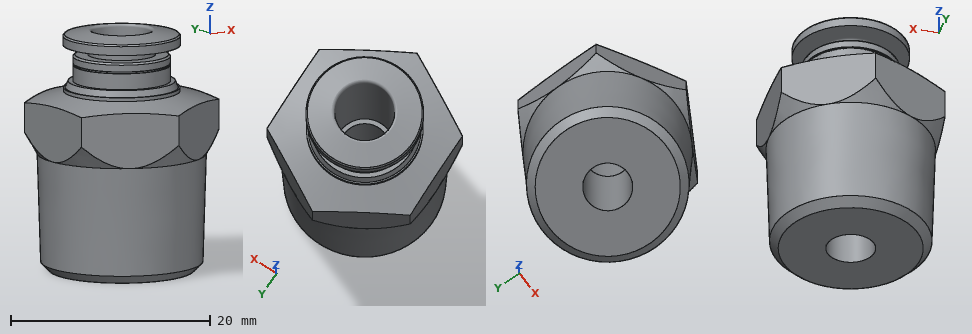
import cadquery as cq
import math

height = 24.5
hex_across_flats = 17.0
hex_across_corners = hex_across_flats / math.cos(math.radians(30))
hex_bottom = 11.93
hex_top = 18.28
top_bevel_angle = 15.0
bottom_bevel_angle = 60.0

plug_top_radius = hex_across_flats / 2
plug_bottom_radius = 8.15
plug_chamfer = 0.88

collar_radius = 11.7 / 2
collar_rim_top = 18.65
collar_top = 19.3
collar_cone_radius = 5.68
collar_top_radius = 5.4
sleeve_radius = 9.8 / 2
sleeve_top = 22.0
sleeve_chamfer = 0.2
groove_radius = 9.53 / 2
groove_bottom = 20.92
groove_top = 21.1
neck_radius = 6.8 / 2
neck_fillet = 0.3

flange_radius = 11.8 / 2
flange_bottom = 22.98
flange_rim_top = 23.89
flange_edge_radius = 5.75
flange_edge_height = 24.05

through_radius = 5.0 / 2
socket_radius = 6.0 / 2
socket_bottom = hex_bottom
mouth_fillet = 0.3
mouth_radius = socket_radius + mouth_fillet


def make_body():
    """Revolve the plug, collar, sleeve, neck and flange with their bore."""
    profile = (
        cq.Workplane("XZ")
        .moveTo(through_radius, 0)
        .lineTo(plug_bottom_radius - plug_chamfer, 0)
        .lineTo(plug_bottom_radius, plug_chamfer)
        .lineTo(plug_top_radius, hex_bottom)
        .lineTo(collar_radius, hex_top)
        .lineTo(collar_radius, collar_rim_top)
        .lineTo(collar_cone_radius, collar_rim_top)
        .lineTo(collar_top_radius, collar_top)
        .lineTo(sleeve_radius, collar_top)
        .lineTo(sleeve_radius, groove_bottom)
        .lineTo(groove_radius, groove_bottom)
        .lineTo(groove_radius, groove_top)
        .lineTo(sleeve_radius, groove_top)
        .lineTo(sleeve_radius, sleeve_top - sleeve_chamfer)
        .lineTo(sleeve_radius - sleeve_chamfer, sleeve_top)
        .lineTo(neck_radius, sleeve_top)
        .lineTo(neck_radius, flange_bottom - neck_fillet)
        .radiusArc((neck_radius + neck_fillet, flange_bottom), neck_fillet)
        .lineTo(flange_radius, flange_bottom)
        .lineTo(flange_radius, flange_rim_top)
        .lineTo(flange_edge_radius, flange_edge_height)
        .lineTo(mouth_radius, height)
        .radiusArc((socket_radius, height - mouth_fillet), -mouth_fillet)
        .lineTo(socket_radius, socket_bottom)
        .lineTo(through_radius, socket_bottom)
        .close()
    )
    return profile.revolve(360, (0, 0, 0), (0, 1, 0))


def make_hexagon():
    """Hexagon with corners on Y, bevelled by a cone above and below."""
    prism = (
        cq.Workplane("XY")
        .workplane(offset=hex_bottom)
        .polygon(6, hex_across_corners)
        .extrude(hex_top - hex_bottom)
        .rotate((0, 0, 0), (0, 0, 1), 30)
    )
    outer_radius = hex_across_corners / 2 + 0.25
    top_drop = (outer_radius - collar_radius) * math.tan(math.radians(top_bevel_angle))
    bottom_rise = (outer_radius - plug_top_radius) * math.tan(math.radians(bottom_bevel_angle))
    envelope = (
        cq.Workplane("XZ")
        .moveTo(through_radius, hex_bottom)
        .lineTo(plug_top_radius, hex_bottom)
        .lineTo(outer_radius, hex_bottom + bottom_rise)
        .lineTo(outer_radius, hex_top - top_drop)
        .lineTo(collar_radius, hex_top)
        .lineTo(through_radius, hex_top)
        .close()
        .revolve(360, (0, 0, 0), (0, 1, 0))
    )
    socket = (
        cq.Workplane("XY")
        .workplane(offset=socket_bottom)
        .circle(socket_radius)
        .extrude(height - socket_bottom)
    )
    return prism.intersect(envelope).cut(socket)


result = make_body().union(make_hexagon())